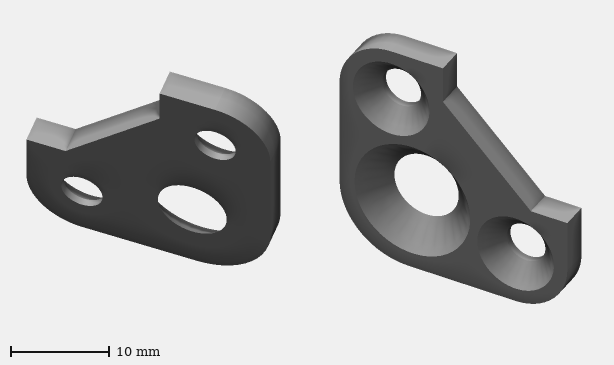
import cadquery as cq
import math

side = 26.45
thickness = 3.0
lobe_radius = 6.0
corner_radius = 8.0
tab_length = 4.23
small_hole_diameter = 4.5
large_hole_diameter = 7.45
large_hole_inset = 8.47
small_hole_land = 0.8
large_hole_land = 0.0
countersink_angle = 90.0

tab_width = 2 * lobe_radius
far_edge = side - tab_width


def corner_arc_middle(center_x, center_z, radius, angle_degrees):
    """Point on a corner arc in the direction of the given angle."""
    angle = math.radians(angle_degrees)
    return (center_x + radius * math.cos(angle), center_z + radius * math.sin(angle))


def make_plate():
    lower_middle = corner_arc_middle(lobe_radius, lobe_radius, lobe_radius, 225)
    corner_center = (side - corner_radius, corner_radius)
    corner_middle = corner_arc_middle(*corner_center, corner_radius, -45)
    upper_center = (side - lobe_radius, side - lobe_radius)
    upper_middle = corner_arc_middle(*upper_center, lobe_radius, 45)
    return (
        cq.Workplane("XZ")
        .moveTo(0, tab_width)
        .lineTo(0, lobe_radius)
        .threePointArc(lower_middle, (lobe_radius, 0))
        .lineTo(side - corner_radius, 0)
        .threePointArc(corner_middle, (side, corner_radius))
        .lineTo(side, side - lobe_radius)
        .threePointArc(upper_middle, (side - lobe_radius, side))
        .lineTo(far_edge, side)
        .lineTo(far_edge, side - tab_length)
        .lineTo(tab_length, tab_width)
        .close()
        .extrude(-thickness)
    )


def make_countersunk_hole(center_x, center_z, diameter, land):
    """Through hole, straight for the land depth and then widening to the back face."""
    radius = diameter / 2
    cone_depth = thickness - land
    back_radius = radius + cone_depth * math.tan(math.radians(countersink_angle / 2))
    profile = cq.Workplane("XY").moveTo(0, 0).lineTo(radius, 0)
    if land > 0:
        profile = profile.lineTo(radius, land)
    profile = profile.lineTo(back_radius, thickness).lineTo(0, thickness).close()
    return profile.revolve(360, (0, 0), (0, 1)).translate((center_x, 0, center_z))


result = make_plate()
for small_center in (lobe_radius, side - lobe_radius):
    result = result.cut(
        make_countersunk_hole(small_center, small_center, small_hole_diameter, small_hole_land)
    )
result = result.cut(
    make_countersunk_hole(
        side - large_hole_inset, large_hole_inset, large_hole_diameter, large_hole_land
    )
)